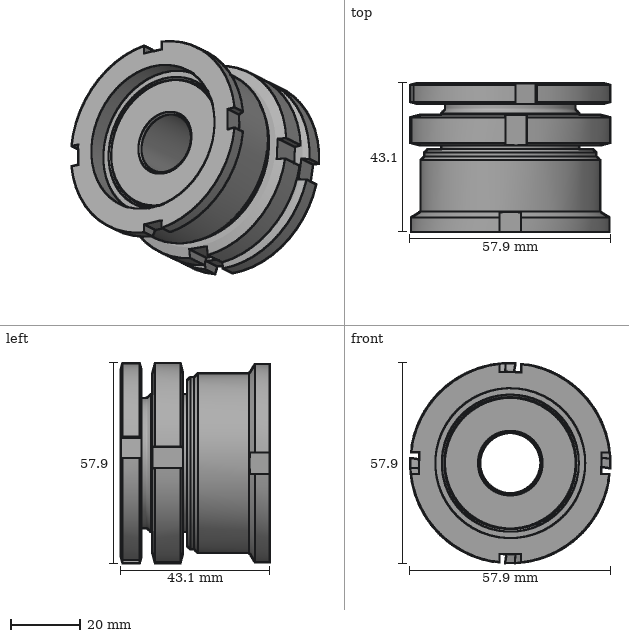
import cadquery as cq
import math

OVERALL_LENGTH = 43.1
FULL_CIRCLE = 360

SLOT_COUNT = 4
SLOT_WIDTH = 6.2
SLOT_FLOOR_RADIUS = 26.3

NUT_TURN = 3.5
SPINDLE_TURN = 9.2

THREAD_RADIUS = 20.0
CORE_RADIUS = 18.9

FLANGE_RADIUS = 28.85
FLANGE_RIM_LENGTH = 4.3
FLANGE_LENGTH = 6.0
BARREL_RADIUS = 26.0
BARREL_END = 20.8
SHOULDER_SIZE = 1.1
HOUSING_LENGTH = 24.0
HOUSING_EDGE_CHAMFER = 1.0
RECESS_RADIUS = 21.65
RECESS_DEPTH = 6.1
HOUSING_BORE_RADIUS = 19.05
HOUSING_BORE_CHAMFER = 0.75

RIM_RADIUS = 28.95
BEVEL_ANGLE = 15
NUT_START = 25.0
NUT_LENGTH = 9.0
NUT_BEVEL = 0.8
SPINDLE_FLANGE_LENGTH = 6.0
SPINDLE_FLANGE_BEVEL = 0.5

THREAD_END = 35.45
NECK_FILLET = 0.6
BORE_RADIUS = 8.7
BORE_CHAMFER = 0.65


def revolve_profile(points):
    """Turn an outline of (radius, Y) points about the Y axis."""
    return cq.Workplane("XY").polyline(points).close().revolve(FULL_CIRCLE, (0, 0), (0, 1))


def turn_about_axis(body, angle):
    """Turn a body about the Y axis, from +Z towards +X."""
    return body.rotate((0, 0, 0), (0, 1, 0), angle)


def bevelled_ring(inner_radius, start, length, bevel):
    """Ring of the rim radius with a shallow cone at both faces."""
    face_radius = RIM_RADIUS - bevel / math.tan(math.radians(BEVEL_ANGLE))
    end = start + length
    return revolve_profile([
        (inner_radius, start),
        (face_radius, start),
        (RIM_RADIUS, start + bevel),
        (RIM_RADIUS, end - bevel),
        (face_radius, end),
        (inner_radius, end),
    ])


def cut_spanner_slots(body, start, length):
    """Cut the slots through the rim, along +Z, +X, -Z and -X."""
    slot_height = RIM_RADIUS
    slot = cq.Workplane("XY").box(SLOT_WIDTH, length, slot_height, centered=(True, False, False))
    slot = slot.translate((0, start, SLOT_FLOOR_RADIUS))
    for i in range(SLOT_COUNT):
        turn = i * FULL_CIRCLE / SLOT_COUNT
        body = body.cut(turn_about_axis(slot, turn))
    return body


def make_housing():
    """Flanged barrel with a front recess and a bore for the spindle's nose."""
    neck_radius = BARREL_RADIUS - SHOULDER_SIZE
    body = revolve_profile([
        (HOUSING_BORE_RADIUS, RECESS_DEPTH + HOUSING_BORE_CHAMFER),
        (HOUSING_BORE_RADIUS + HOUSING_BORE_CHAMFER, RECESS_DEPTH),
        (RECESS_RADIUS, RECESS_DEPTH),
        (RECESS_RADIUS, 0),
        (FLANGE_RADIUS, 0),
        (FLANGE_RADIUS, FLANGE_RIM_LENGTH),
        (BARREL_RADIUS, FLANGE_LENGTH),
        (BARREL_RADIUS, BARREL_END),
        (neck_radius, BARREL_END + SHOULDER_SIZE),
        (neck_radius, HOUSING_LENGTH),
        (HOUSING_BORE_RADIUS, HOUSING_LENGTH),
    ])
    rear_outer_edge = cq.selectors.RadiusNthSelector(-1)
    body = body.faces(">Y").edges(rear_outer_edge).chamfer(HOUSING_EDGE_CHAMFER)
    return cut_spanner_slots(body, 0, FLANGE_LENGTH)


def make_lock_nut():
    """Bevelled ring on the spindle's thread."""
    body = bevelled_ring(THREAD_RADIUS, NUT_START, NUT_LENGTH, NUT_BEVEL)
    body = cut_spanner_slots(body, NUT_START, NUT_LENGTH)
    return turn_about_axis(body, NUT_TURN)


def make_spindle():
    """Hollow shaft: nose in the housing, thread, relief neck and a slotted rear flange."""
    nose_chamfer = HOUSING_BORE_RADIUS - CORE_RADIUS
    thread_chamfer = THREAD_RADIUS - CORE_RADIUS
    flange_start = OVERALL_LENGTH - SPINDLE_FLANGE_LENGTH
    shaft = revolve_profile([
        (BORE_RADIUS, RECESS_DEPTH + BORE_CHAMFER),
        (BORE_RADIUS + BORE_CHAMFER, RECESS_DEPTH),
        (CORE_RADIUS, RECESS_DEPTH),
        (HOUSING_BORE_RADIUS, RECESS_DEPTH + nose_chamfer),
        (HOUSING_BORE_RADIUS, HOUSING_LENGTH),
        (THREAD_RADIUS, HOUSING_LENGTH),
        (THREAD_RADIUS, THREAD_END - thread_chamfer),
        (CORE_RADIUS, THREAD_END),
        (CORE_RADIUS, OVERALL_LENGTH),
        (BORE_RADIUS, OVERALL_LENGTH),
    ])
    centre_of_neck_foot = (0, THREAD_END, 0)
    neck_foot = cq.selectors.NearestToPointSelector(centre_of_neck_foot)
    shaft = shaft.edges("%CIRCLE").edges(neck_foot).fillet(NECK_FILLET)
    flange = bevelled_ring(BORE_RADIUS, flange_start, SPINDLE_FLANGE_LENGTH, SPINDLE_FLANGE_BEVEL)
    flange = cut_spanner_slots(flange, flange_start, SPINDLE_FLANGE_LENGTH)
    return turn_about_axis(shaft.union(flange), SPINDLE_TURN)


housing = make_housing()
lock_nut = make_lock_nut()
spindle = make_spindle()

result = cq.Compound.makeCompound([housing.val(), lock_nut.val(), spindle.val()])